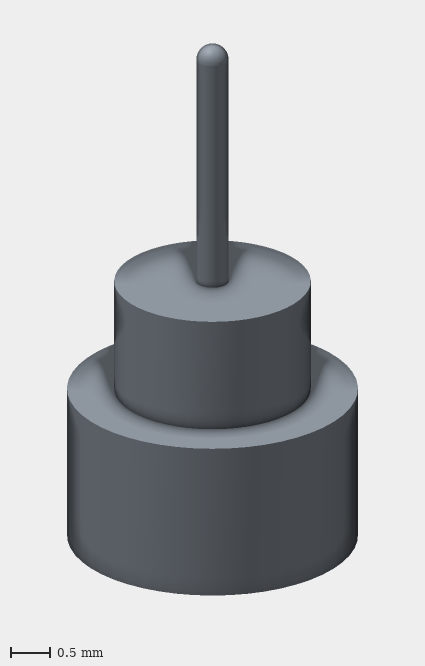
import cadquery as cq

total_height = 6.85
flange_height = 2.05
barrel_height = 1.5
barrel_top = flange_height + barrel_height

flange_diameter = 3.7
barrel_diameter = 2.5
insulator_diameter = 1.95
pin_diameter = 0.41

pin_radius = pin_diameter / 2
pin_straight_top = total_height - pin_radius


def cylinder(diameter, bottom, top):
    """Upright cylinder on the Z axis between two levels."""
    return cq.Workplane("XY").workplane(offset=bottom).circle(diameter / 2).extrude(top - bottom)


def make_shell():
    """Flange and barrel, bored out where the insulator sits."""
    flange = cylinder(flange_diameter, 0, flange_height)
    barrel = cylinder(barrel_diameter, flange_height, barrel_top)
    bore = cylinder(insulator_diameter, flange_height, barrel_top)
    return flange.union(barrel).cut(bore)


def make_insulator():
    """Disc that fills the barrel flush with its rim."""
    return cylinder(insulator_diameter, flange_height, barrel_top)


def make_pin():
    """Straight pin with a domed tip."""
    shaft = cylinder(pin_diameter, barrel_top, pin_straight_top)
    tip = cq.Workplane("XY").sphere(pin_radius).translate((0, 0, pin_straight_top))
    return shaft.union(tip)


result = make_shell().union(make_insulator(), clean=False).union(make_pin(), clean=False)